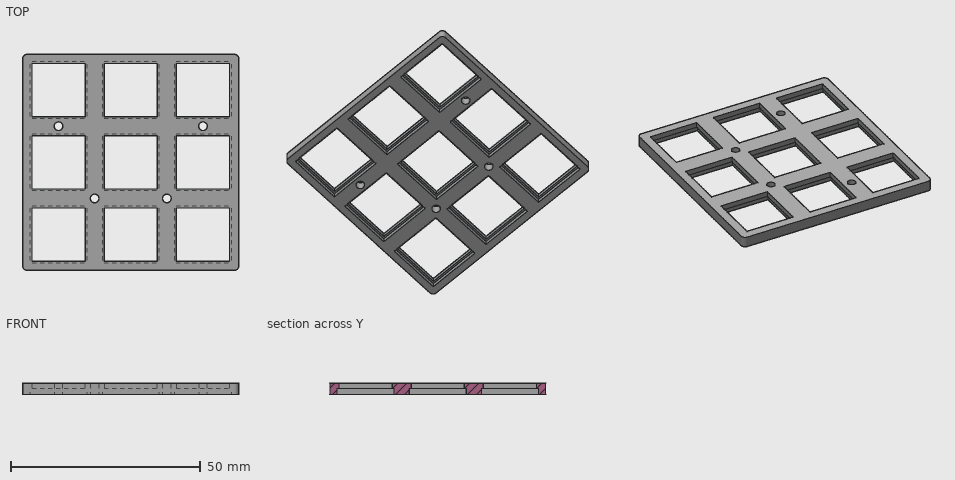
import cadquery as cq

plate_side = 57.1
plate_thickness = 3.0
corner_radius = 1.2

grid_count = 3
pitch = 19.05
window_side = 14.0
lip_thickness = 1.5
undercut_step = 0.5
undercut_side = window_side + 2 * undercut_step
undercut_height = plate_thickness - lip_thickness

hole_diameter = 2.2
half_pitch = pitch / 2
hole_centers = [
    (-pitch, half_pitch),
    (pitch, half_pitch),
    (-half_pitch, -half_pitch),
    (half_pitch, -half_pitch),
]


def make_plate():
    """Square plate resting on Z = 0 with rounded vertical corners."""
    plate = cq.Workplane("XY").box(
        plate_side, plate_side, plate_thickness, centered=(True, True, False)
    )
    return plate.edges("|Z").fillet(corner_radius)


def make_square_grid(side, height):
    """Grid of square blocks rising from Z = 0, used as a cutter."""
    return (
        cq.Workplane("XY")
        .rarray(pitch, pitch, grid_count, grid_count)
        .rect(side, side)
        .extrude(height)
    )


def make_holes():
    """Through-cutting cylinders for the screw holes."""
    return (
        cq.Workplane("XY")
        .pushPoints(hole_centers)
        .circle(hole_diameter / 2)
        .extrude(plate_thickness)
    )


windows = make_square_grid(window_side, plate_thickness)
undercuts = make_square_grid(undercut_side, undercut_height)

result = make_plate().cut(windows).cut(undercuts).cut(make_holes())